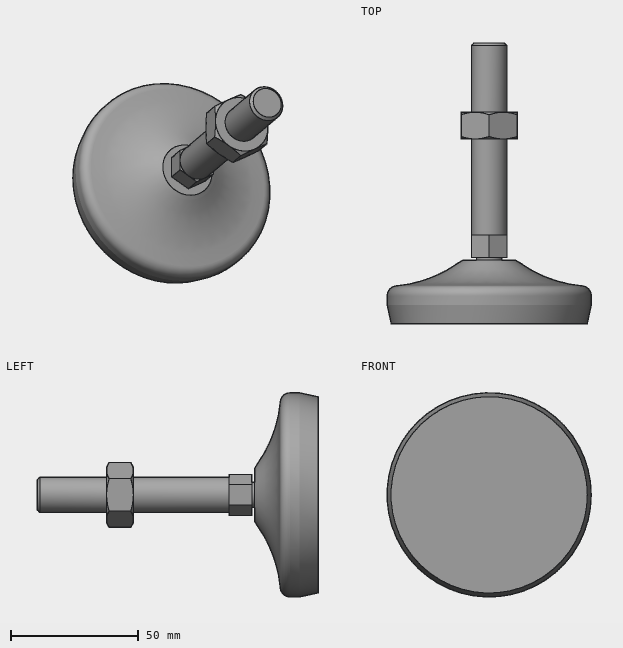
import cadquery as cq
import math


total_height = 110.0

base_diameter = 80.0
underside_diameter = 76.8
taper_height = 7.4
rim_round_start = 11.0
rim_round_radius = 4.0
rim_round_end_angle = 82.0
flank_mid_radius = 22.4
flank_mid_height = 18.3
shoulder_radius = 12.0
shoulder_height = 24.0
crown_radius = 10.3
crown_height = 25.0

stud_diameter = 14.0
stud_chamfer = 1.1
neck_diameter = 10.0

stud_hex_flats = stud_diameter
stud_hex_bottom = 26.0
stud_hex_top = 34.9
nut_flats = 22.0
nut_bottom = 72.4
nut_top = 82.8
nut_face_diameter = nut_flats
nut_chamfer_angle = 30.0


def plane_at(height):
    """Plane square to the stud axis, with its normal along +Y."""
    return cq.Workplane(cq.Plane(origin=(0, height, 0), xDir=(0, 0, 1), normal=(0, 1, 0)))


def cylinder(diameter, bottom, top):
    return plane_at(bottom).circle(diameter / 2).extrude(top - bottom)


def hexagon(flats, bottom, top):
    corner_diameter = flats / math.cos(math.radians(30))
    return plane_at(bottom).polygon(6, corner_diameter).extrude(top - bottom)


def revolve_about_stud(profile):
    return profile.close().revolve(360, (0, 0, 0), (0, 1, 0))


def make_base():
    """Tapered rim, rounded edge and concave flank rising to a small crown."""
    rim_radius = base_diameter / 2
    round_centre = rim_radius - rim_round_radius

    def rim_round_point(angle):
        return (
            round_centre + rim_round_radius * math.cos(math.radians(angle)),
            rim_round_start + rim_round_radius * math.sin(math.radians(angle)),
        )

    profile = (
        cq.Workplane("XY")
        .lineTo(underside_diameter / 2, 0)
        .lineTo(rim_radius, taper_height)
        .lineTo(rim_radius, rim_round_start)
        .threePointArc(rim_round_point(rim_round_end_angle / 2), rim_round_point(rim_round_end_angle))
        .threePointArc((flank_mid_radius, flank_mid_height), (shoulder_radius, shoulder_height))
        .lineTo(crown_radius, crown_height)
        .lineTo(0, crown_height)
    )
    return revolve_about_stud(profile)


def make_nut():
    """Hexagon whose corners are cut back by a cone at both faces."""
    corner_radius = nut_flats / 2 / math.cos(math.radians(30))
    face_radius = nut_face_diameter / 2
    corner_drop = (corner_radius - face_radius) * math.tan(math.radians(nut_chamfer_angle))
    envelope = revolve_about_stud(
        cq.Workplane("XY")
        .moveTo(0, nut_bottom)
        .lineTo(face_radius, nut_bottom)
        .lineTo(corner_radius, nut_bottom + corner_drop)
        .lineTo(corner_radius, nut_top - corner_drop)
        .lineTo(face_radius, nut_top)
        .lineTo(0, nut_top)
    )
    return hexagon(nut_flats, nut_bottom, nut_top).intersect(envelope)


def make_stud():
    """Neck, wrench hexagon and plain shank with a chamfered end."""
    neck = cylinder(neck_diameter, crown_height, stud_hex_bottom)
    wrench_hex = hexagon(stud_hex_flats, stud_hex_bottom, stud_hex_top)
    shank = cylinder(stud_diameter, stud_hex_top, total_height).faces(">Y").chamfer(stud_chamfer)
    return neck.union(wrench_hex).union(shank)


result = make_base().union(make_stud()).union(make_nut())